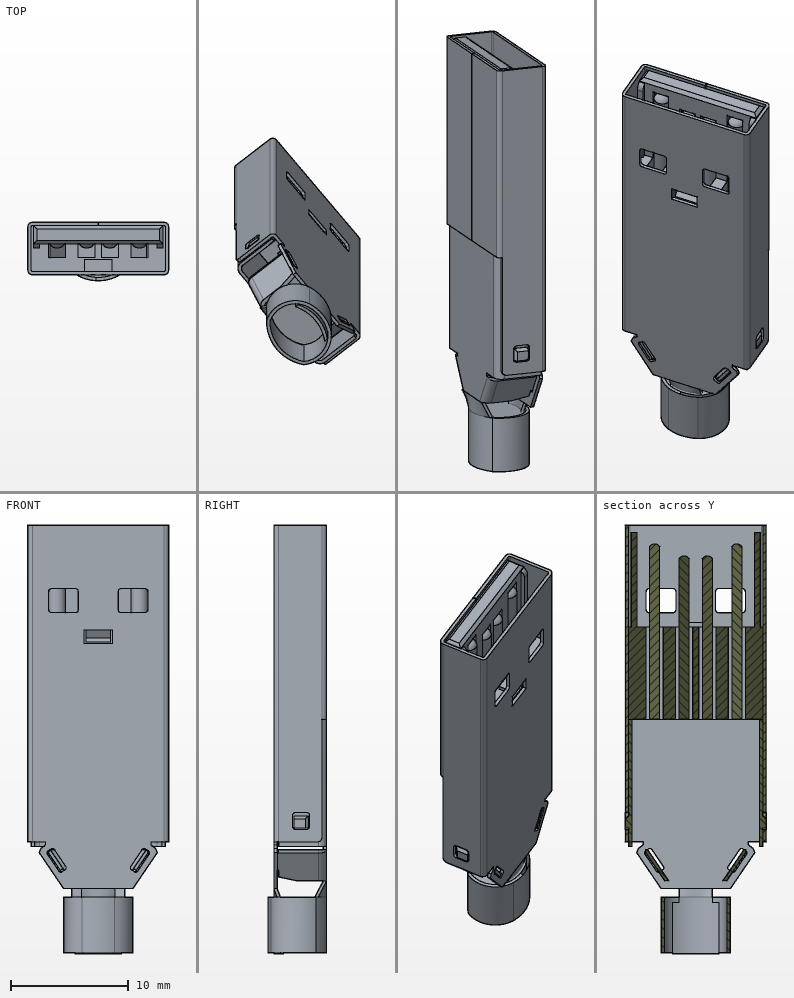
import cadquery as cq
import math


SHELL_X = 12.0
SHELL_Y = 4.5
SHELL_TOP = 36.45
SHEET = 0.3
SHELL_CORNER = 0.4
SIDE_BOTTOM = 9.5
BACK_BOTTOM = 19.95
SIDE_CUT_CORNER = 0.35
SEAM_GAP = 0.07

FRONT_Y = -SHELL_Y / 2
BACK_Y = SHELL_Y / 2
INNER_X = SHELL_X - 2 * SHEET
INNER_Y = SHELL_Y - 2 * SHEET
INNER_FRONT_Y = FRONT_Y + SHEET
INNER_BACK_Y = BACK_Y - SHEET
INNER_CORNER = SHELL_CORNER - SHEET

WINDOW_X = 2.95
WINDOW_WIDTH = 2.5
WINDOW_BOTTOM = 29.0
WINDOW_TOP = 31.05
WINDOW_CORNER = 0.25

LATCH_WIDTH = 2.4
LATCH_BOTTOM = 26.4
LATCH_TOP = 27.55

SIDE_HOLE = 1.45
SIDE_HOLE_Y = 0.07
SIDE_HOLE_Z = 11.3
SIDE_HOLE_CORNER = 0.3

PLATE_BOTTOM = 5.55
PLATE_BOTTOM_HALF = 2.95
PLATE_SHOULDER_HALF = 5.03
PLATE_SHOULDER_Z = 8.6
PLATE_NOTCH_HALF = 4.5
PLATE_NOTCH_Z = 9.25
PLATE_NECK_HALF = 4.9
PLATE_NECK_Z = 8.95

SLOT_X = 3.55
SLOT_Z = 7.95
SLOT_LENGTH = 2.1
SLOT_WIDTH = 0.7
SLOT_CORNER = 0.2
TAPER_ANGLE = 56.0

TONGUE_HALF = 1.97
TONGUE_SAG = 0.55
TONGUE_WIDE_TOP = 4.37
TONGUE_NECK_HALF = 1.42

COVER_BEND = 0.7
COVER_SIDE_BOTTOM = 9.1
COVER_TAPER_TOP = 8.85
COVER_TAPER_SHOULDER = 8.55
COVER_TAPER_BOTTOM = 6.2
TAPER_WALL_X = 3.65
TAPER_TRIM_Y = -0.3
TAPER_TRIM_RISE = 0.33
BRIDGE_HALF = 3.3
COVER_WALL_FRONT_Y = INNER_FRONT_Y + INNER_CORNER
TAB_LENGTH = 1.9
TAB_RECESS = 0.07
NUB_CHAMFER = 0.25
NUB_CLEARANCE = 0.1
NUB_TOP_GAP = 0.2
NECK_HALF = 2.25

FERRULE_BOTTOM = 0.07
FERRULE_TOP = 4.8
FERRULE_HALF = 2.95
FERRULE_FRONT_Y = -2.752
FERRULE_SIDE_Y = -0.1
FRONT_ARC_HALF = 1.4
FRONT_ARC_SAG = 0.275
BACK_ARC_HALF = 2.5
BACK_ARC_SAG = 0.9

BASE_BOTTOM = BACK_BOTTOM
BASE_TOP = 27.8
BLADE_HALF = 5.5
BLADE_FRONT_Y = 0.4
BLADE_TOP = 36.4
BLADE_CHAMFER = 0.3
RIB_WIDTH = 0.5
RIB_FRONT_Y = 0.05
RIB_ROUND = 0.73
CHANNEL_WIDTH = 1.45
CHANNEL_FRONT_Y = -0.75
OUTER_CHANNEL_TOP = 35.35
INNER_CHANNEL_TOP = 34.35
LATCH_BLOCK_WIDTH = 2.37
LATCH_BLOCK_BACK_Y = -0.95
LATCH_BLOCK_TOP = 28.18
GROOVE_WIDTH = 2.05
GROOVE_DEPTH = 0.4
GROOVE_BOTTOM = 26.55
GROOVE_DEEPEST_Z = 26.85
GROOVE_TOP = 27.52

CONTACT_PLACES = (
    (-3.5, OUTER_CHANNEL_TOP),
    (-1.0, INNER_CHANNEL_TOP),
    (1.0, INNER_CHANNEL_TOP),
    (3.5, OUTER_CHANNEL_TOP),
)
CONTACT_RADIUS = CHANNEL_WIDTH / 2
CONTACT_BACK_Y = RIB_FRONT_Y + CONTACT_RADIUS
TIP_CLEARANCE = 0.22
DOME_HEIGHT = 0.5


def box(x0, x1, y0, y1, z0, z1):
    return cq.Workplane("XY").box(x1 - x0, y1 - y0, z1 - z0, centered=False).translate((x0, y0, z0))


def rounded_bar(width, depth, corner, z0, z1):
    bar = cq.Workplane("XY").workplane(offset=z0).rect(width, depth).extrude(z1 - z0)
    return bar.edges("|Z").fillet(corner)


def front_prism(points, y0, y1):
    """Closed outline of (x, z) points carried from y0 to y1."""
    return cq.Workplane("XZ", origin=(0, y0, 0)).polyline(points).close().extrude(y0 - y1)


def side_prism(points, width):
    """Closed outline of (y, z) points, centred on X = 0."""
    return cq.Workplane("YZ").polyline(points).close().extrude(width / 2, both=True)


def both_sides(shape):
    return shape.union(shape.mirror("YZ"))


def slanted_bar(x, length, width, y0, y1):
    """Bar along the left taper at the slot height, its middle at -x."""
    bar = cq.Workplane("XY").box(length, y1 - y0, width)
    bar = bar.rotate((0, 0, 0), (0, 1, 0), TAPER_ANGLE)
    return bar.translate((-x, (y0 + y1) / 2, SLOT_Z))


def arc_radius(half_chord, sag):
    return (half_chord**2 + sag**2) / (2 * sag)


def arc_sag(radius, half_chord):
    return radius - math.sqrt(radius**2 - half_chord**2)


def arc_strip(half, outer_y, sag, thickness, z):
    """Curved strip section whose ends lie `sag` from its middle; a negative thickness grows to -Y."""
    return (
        cq.Workplane("XY", origin=(0, 0, z))
        .moveTo(-half, outer_y + sag)
        .threePointArc((0, outer_y), (half, outer_y + sag))
        .lineTo(half, outer_y + sag + thickness)
        .threePointArc((0, outer_y + thickness), (-half, outer_y + sag + thickness))
        .close()
    )


def strip_transition(half, outer_y, sag, thickness, arc_z, flat_z):
    """Sheet strip changing from the curved section at arc_z to a nearly flat one at flat_z."""
    flat_sag = math.copysign(0.005, sag)
    lower = arc_strip(half, outer_y, sag, thickness, arc_z).wires().val()
    upper = arc_strip(half, outer_y, flat_sag, thickness, flat_z).wires().val()
    return cq.Workplane("XY").newObject([cq.Solid.makeLoft([lower, upper], True)])


def shell_tube():
    tube = rounded_bar(SHELL_X, SHELL_Y, SHELL_CORNER, SIDE_BOTTOM, SHELL_TOP)
    tube = tube.cut(rounded_bar(INNER_X, INNER_Y, INNER_CORNER, SIDE_BOTTOM, SHELL_TOP))
    side_edge_y = BACK_Y - SHELL_CORNER
    back_opening = box(-SHELL_X, SHELL_X, side_edge_y, SHELL_Y, SIDE_BOTTOM, BACK_BOTTOM)
    tube = tube.cut(back_opening)
    tube = tube.edges(cq.selectors.BoxSelector(
        (-SHELL_X, side_edge_y - 0.05, SIDE_BOTTOM - 0.05), (SHELL_X, side_edge_y + 0.05, SIDE_BOTTOM + 0.05),
    )).edges("|X").fillet(SIDE_CUT_CORNER)
    return tube.cut(box(-SEAM_GAP / 2, SEAM_GAP / 2, 0, SHELL_Y, BACK_BOTTOM, SHELL_TOP))


def shell_front_plate():
    right_edge = [
        (PLATE_NOTCH_HALF, SIDE_BOTTOM + SHEET),
        (PLATE_NOTCH_HALF, PLATE_NOTCH_Z),
        (PLATE_NECK_HALF, PLATE_NECK_Z),
        (PLATE_SHOULDER_HALF, PLATE_SHOULDER_Z),
        (PLATE_BOTTOM_HALF, PLATE_BOTTOM),
    ]
    left_edge = [(-x, z) for x, z in reversed(right_edge)]
    plate = front_prism(right_edge + left_edge, FRONT_Y, INNER_FRONT_Y)
    slot = slanted_bar(SLOT_X, SLOT_LENGTH, SLOT_WIDTH, FRONT_Y - SHEET, INNER_FRONT_Y + SHEET)
    return plate.cut(both_sides(slot.edges("|Y").fillet(SLOT_CORNER)))


def shell_cable_tongue():
    neck_sag = arc_sag(arc_radius(TONGUE_HALF, TONGUE_SAG), TONGUE_NECK_HALF)
    wide = arc_strip(TONGUE_HALF, FRONT_Y, TONGUE_SAG, SHEET, 0).extrude(TONGUE_WIDE_TOP)
    neck = arc_strip(TONGUE_NECK_HALF, FRONT_Y, neck_sag, SHEET, 0).extrude(FERRULE_TOP)
    bend = strip_transition(TONGUE_NECK_HALF, FRONT_Y, neck_sag, SHEET, FERRULE_TOP, PLATE_BOTTOM)
    return wide.union(neck).union(bend)


def build_shell():
    window = box(
        -WINDOW_WIDTH / 2, WINDOW_WIDTH / 2, FRONT_Y - SHEET, INNER_FRONT_Y + SHEET, WINDOW_BOTTOM, WINDOW_TOP
    )
    window = window.edges("|Y").fillet(WINDOW_CORNER).translate((-WINDOW_X, 0, 0))
    latch_slot = box(
        -LATCH_WIDTH / 2, LATCH_WIDTH / 2, FRONT_Y - SHEET, INNER_FRONT_Y + SHEET, LATCH_BOTTOM, LATCH_TOP
    )
    side_holes = cq.Workplane("XY").box(2 * SHELL_X, SIDE_HOLE, SIDE_HOLE)
    side_holes = side_holes.edges("|X").fillet(SIDE_HOLE_CORNER).translate((0, SIDE_HOLE_Y, SIDE_HOLE_Z))
    shell = shell_tube().cut(both_sides(window)).cut(latch_slot).cut(side_holes)
    return shell.union(shell_front_plate()).union(shell_cable_tongue())


def channel(outer_edge, inner_edge):
    """U-channel of sheet open to -Y, from the right-hand (x, z) edges of its outer and inner outlines."""

    def block(edge, back_y, radius):
        outline = edge + [(-x, z) for x, z in reversed(edge)]
        solid = front_prism(outline, COVER_WALL_FRONT_Y, back_y)
        return solid.faces(">Y").edges("not #Z").fillet(radius)

    return block(outer_edge, BACK_Y, COVER_BEND).cut(block(inner_edge, INNER_BACK_Y, COVER_BEND - SHEET))


def straight_channel():
    outer = INNER_X / 2
    inner = outer - SHEET
    return channel(
        [(outer, COVER_SIDE_BOTTOM), (outer, BACK_BOTTOM)],
        [(inner, COVER_SIDE_BOTTOM), (inner, BACK_BOTTOM)],
    )


def taper_x(z):
    """Distance of the tapered wall's middle plane from X = 0."""
    return TAPER_WALL_X + (z - SLOT_Z) / math.tan(math.radians(TAPER_ANGLE))


def tapered_channel():
    half_wall = SHEET / 2 / math.sin(math.radians(TAPER_ANGLE))
    bottom_x = taper_x(COVER_TAPER_BOTTOM)
    shoulder_x = taper_x(COVER_TAPER_SHOULDER)
    top_x = taper_x(COVER_TAPER_TOP)
    tapered = channel(
        [
            (bottom_x + half_wall, COVER_TAPER_BOTTOM),
            (shoulder_x + half_wall, COVER_TAPER_SHOULDER),
            (top_x, COVER_TAPER_TOP),
        ],
        [(bottom_x - half_wall, COVER_TAPER_BOTTOM), (top_x - half_wall, COVER_TAPER_TOP)],
    )
    lower_trim = side_prism(
        [
            (TAPER_TRIM_Y, COVER_TAPER_BOTTOM),
            (COVER_WALL_FRONT_Y, COVER_TAPER_BOTTOM),
            (COVER_WALL_FRONT_Y, COVER_TAPER_BOTTOM + TAPER_TRIM_RISE),
        ],
        SHELL_X,
    )
    return tapered.cut(lower_trim)


def ferrule_outline():
    front_arc_y = FERRULE_FRONT_Y + FRONT_ARC_SAG
    back_arc_y = BACK_Y - BACK_ARC_SAG
    return (
        cq.Workplane("XY", origin=(0, 0, FERRULE_BOTTOM))
        .moveTo(-FRONT_ARC_HALF, front_arc_y)
        .threePointArc((0, FERRULE_FRONT_Y), (FRONT_ARC_HALF, front_arc_y))
        .threePointArc((FERRULE_HALF, FERRULE_SIDE_Y), (BACK_ARC_HALF, back_arc_y))
        .threePointArc((0, BACK_Y), (-BACK_ARC_HALF, back_arc_y))
        .threePointArc((-FERRULE_HALF, FERRULE_SIDE_Y), (-FRONT_ARC_HALF, front_arc_y))
        .close()
    )


def ferrule():
    height = FERRULE_TOP - FERRULE_BOTTOM
    bore = ferrule_outline().offset2D(-SHEET).extrude(height)
    return ferrule_outline().extrude(height).cut(bore)


def cover_neck():
    sag = arc_sag(arc_radius(BACK_ARC_HALF, BACK_ARC_SAG), NECK_HALF)
    return strip_transition(NECK_HALF, BACK_Y, -sag, -SHEET, FERRULE_TOP, COVER_TAPER_BOTTOM)


def side_nub():
    """Chamfered nub on the left cover wall that rests in the shell's side hole."""
    width = SIDE_HOLE - 2 * NUB_CLEARANCE
    height = width - NUB_TOP_GAP
    nub = cq.Workplane("XY").box(SHEET, width, height)
    nub = nub.faces("<X").edges(">Z or >Y").chamfer(NUB_CHAMFER)
    return nub.translate((-(INNER_X + SHEET) / 2, SIDE_HOLE_Y, SIDE_HOLE_Z - NUB_TOP_GAP / 2))


def build_cover():
    bridge = box(-BRIDGE_HALF, BRIDGE_HALF, INNER_BACK_Y, BACK_Y, COVER_TAPER_TOP, COVER_SIDE_BOTTOM)
    tab = slanted_bar(TAPER_WALL_X, TAB_LENGTH, SHEET, FRONT_Y + TAB_RECESS, COVER_WALL_FRONT_Y)
    cover = straight_channel().union(bridge).union(tapered_channel()).union(both_sides(tab))
    return cover.union(both_sides(side_nub())).union(cover_neck()).union(ferrule())


def contact_channel(top):
    half = CHANNEL_WIDTH / 2
    return box(-half, half, CHANNEL_FRONT_Y, CONTACT_BACK_Y, BASE_BOTTOM, top)


def blade():
    plate = box(-BLADE_HALF, BLADE_HALF, BLADE_FRONT_Y, INNER_BACK_Y, BASE_BOTTOM, BLADE_TOP)
    plate = plate.faces(">Z").edges().chamfer(BLADE_CHAMFER)
    rib_top = BLADE_TOP - BLADE_CHAMFER
    rib = box(-BLADE_HALF, RIB_WIDTH - BLADE_HALF, RIB_FRONT_Y, INNER_BACK_Y - BLADE_CHAMFER, BASE_BOTTOM, rib_top)
    rib = rib.faces(">Z").edges("<Y").fillet(RIB_ROUND)
    return plate.union(both_sides(rib))


def latch_block():
    half = LATCH_BLOCK_WIDTH / 2
    return box(-half, half, INNER_FRONT_Y, LATCH_BLOCK_BACK_Y, BASE_TOP, LATCH_BLOCK_TOP)


def latch_groove():
    return side_prism(
        [
            (INNER_FRONT_Y, GROOVE_BOTTOM),
            (INNER_FRONT_Y + GROOVE_DEPTH, GROOVE_DEEPEST_Z),
            (INNER_FRONT_Y, GROOVE_TOP),
        ],
        GROOVE_WIDTH,
    )


def build_insulator():
    insulator = rounded_bar(INNER_X, INNER_Y, INNER_CORNER, BASE_BOTTOM, BASE_TOP)
    insulator = insulator.union(blade()).union(latch_block())
    for x, top in CONTACT_PLACES:
        insulator = insulator.cut(contact_channel(top).translate((x, 0, 0)))
    return insulator.cut(latch_groove())


def build_contact(x, channel_top):
    """Half-round bar with a domed tip, its flat back on the channel floor."""
    tip_z = channel_top - TIP_CLEARANCE
    dome_radius = arc_radius(CONTACT_RADIUS, DOME_HEIGHT)
    bar = (
        cq.Workplane("XZ")
        .moveTo(0, BASE_BOTTOM)
        .lineTo(CONTACT_RADIUS, BASE_BOTTOM)
        .lineTo(CONTACT_RADIUS, tip_z - DOME_HEIGHT)
        .radiusArc((0, tip_z), -dome_radius)
        .close()
        .revolve(180, (0, 0), (0, -1))
    )
    return bar.translate((x, CONTACT_BACK_Y, 0))


shell = build_shell()
cover = build_cover()
insulator = build_insulator()
contacts = [build_contact(x, top) for x, top in CONTACT_PLACES]

result = cq.Compound.makeCompound(
    [shell.val(), cover.val(), insulator.val(), *[contact.val() for contact in contacts]]
)